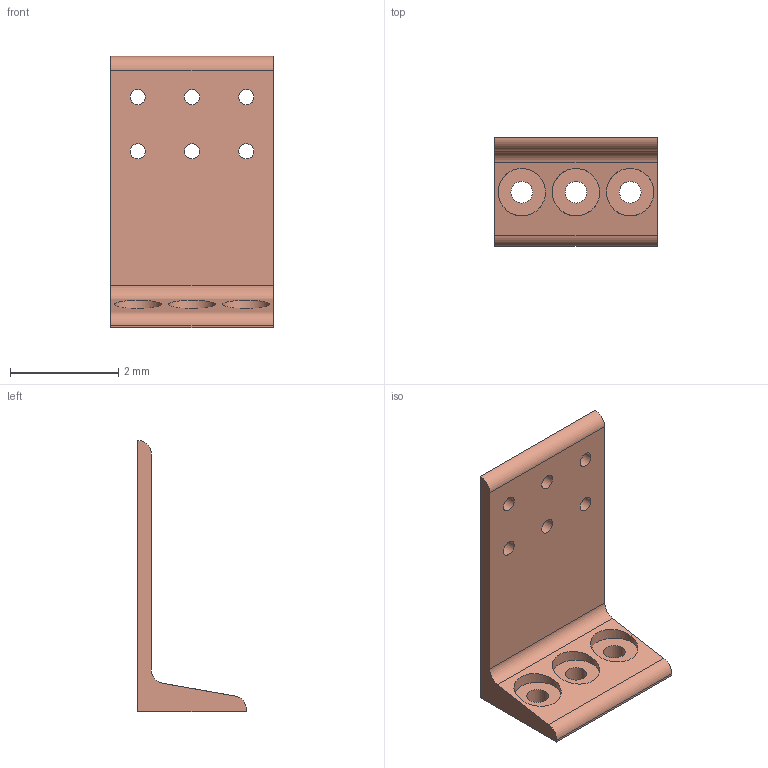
import cadquery as cq
import math

width = 3.0
depth = 2.0
height = 5.0

wall = 0.25
foot_slope = 10.0
round_radius = wall

hole_count = 3
hole_pitch = 1.0
pin_hole_diameter = 0.28
first_pin_row_below_top = 0.75
pin_row_count = 2
screw_hole_diameter = 0.4
counterbore_diameter = 0.875
counterbore_floor = 0.29

back_y = depth / 2
front_y = -depth / 2
wall_front_y = back_y - wall
foot_run = depth - wall
foot_root_height = wall + foot_run * math.tan(math.radians(foot_slope))
hole_xs = [(i - (hole_count - 1) / 2) * hole_pitch for i in range(hole_count)]
pin_row_zs = [height - first_pin_row_below_top - i * hole_pitch for i in range(pin_row_count)]


def make_bracket():
    """L-shaped bar with a tapered foot and three rounded edges."""
    inner_corner = (wall_front_y, foot_root_height)
    foot_tip = (front_y, wall)
    arc_centre_z = height - round_radius
    arc_offset = round_radius * math.sqrt(0.5)
    bar = (
        cq.Workplane("YZ")
        .moveTo(back_y, 0)
        .lineTo(back_y, height)
        .threePointArc((back_y - arc_offset, arc_centre_z + arc_offset), (wall_front_y, arc_centre_z))
        .lineTo(*inner_corner)
        .lineTo(*foot_tip)
        .lineTo(front_y, 0)
        .close()
        .extrude(width / 2, both=True)
    )
    for corner in (inner_corner, foot_tip):
        bar = bar.edges(cq.selectors.NearestToPointSelector((0, *corner))).fillet(round_radius)
    return bar


def cut_pin_holes(body):
    """Rows of small holes through the upright."""
    points = [(x, z) for z in pin_row_zs for x in hole_xs]
    pins = (
        cq.Workplane("XZ", origin=(0, back_y, 0))
        .pushPoints(points)
        .circle(pin_hole_diameter / 2)
        .extrude(wall)
    )
    return body.cut(pins)


def cut_screw_holes(body):
    """Vertical counterbored holes along the middle of the foot."""
    points = [(x, 0) for x in hole_xs]
    shanks = cq.Workplane("XY").pushPoints(points).circle(screw_hole_diameter / 2).extrude(foot_root_height)
    seats = (
        cq.Workplane("XY", origin=(0, 0, counterbore_floor))
        .pushPoints(points)
        .circle(counterbore_diameter / 2)
        .extrude(foot_root_height - counterbore_floor)
    )
    return body.cut(shanks).cut(seats)


result = cut_screw_holes(cut_pin_holes(make_bracket()))